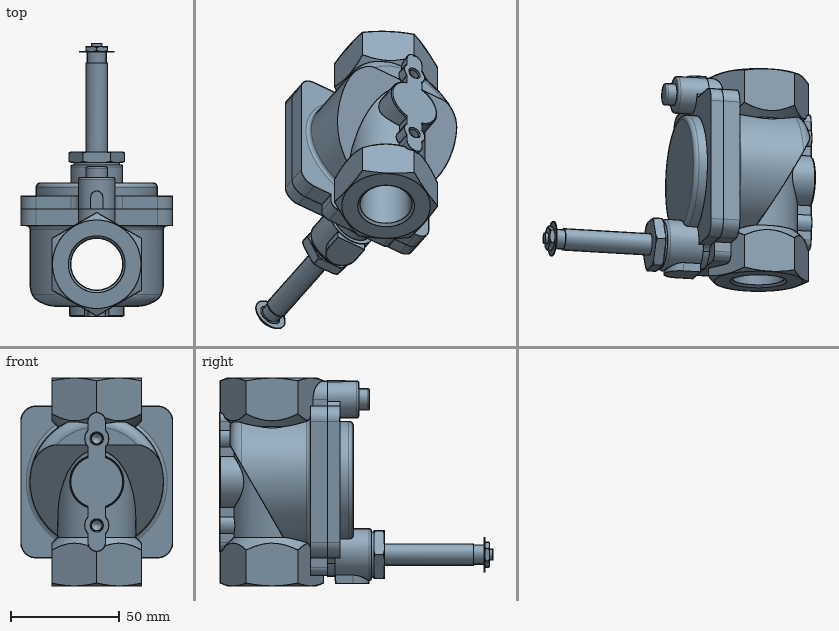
import cadquery as cq
import math


PORT_END = 48.0
PORT_FLATS = 41.3
PORT_RIM_RADIUS = 20.4
PORT_CHAMFER_DEPTH = 1.4
PIPE_RADIUS = 18.0
PIPE_END = 25.6
BORE_DIAMETER = 24.0
BORE_CHAMFER = 1.1

CUP_RADIUS = 30.7
CUP_BOTTOM = -19.4
CUP_EDGE_FILLET = 5.4
CUP_FLANGE_FILLET = 1.8
CUP_SLOPE_TOP = 17.1
CUP_SLOPE_ANGLE = 60.0

FLANGE_SIDE = 70.0
FLANGE_CORNER_RADIUS = 7.0
FLANGE_BOTTOM = 17.8
JOINT = 25.6
FLANGE_TOP = 31.4
FLANGE_EDGE = FLANGE_SIDE / 2

FOOT_BOTTOM = -24.13
FOOT_ROOT = -12.0
FOOT_DISC_RADIUS = 12.5
FOOT_DISC_CHAMFER = 0.5
FOOT_ARM_WIDTH = 8.1
FOOT_ARM_LENGTH = 64.0
FOOT_EAR_RADIUS = 5.5
FOOT_HOLE_SPACING = 40.1
FOOT_HOLE_DIAMETER = 4.9
FOOT_HOLE_DEPTH = 5.0
FOOT_HOLE_CONE_HEIGHT = 1.4
FOOT_HOLE_MOUTH_DIAMETER = 6.0

CAP_RADIUS = 28.0
CAP_TOP = 37.5
CAP_FILLET = 2.1

SCREW_BOSS_Z = 38.0
SCREW_BOSS_RADIUS = 17.0 / 2
SCREW_BOSS_TOP = 40.1
SCREW_HEAD_DIAMETER = 10.0
SCREW_HEAD_TOP = 45.0
SCREW_HEAD_FILLET = 0.9
SCREW_WEB_HALF_WIDTH = 12.0
SCREW_PAD_HALF_WIDTH = 2.8
SCREW_PAD_TOP = 33.8
PAD_FACE = 46.9
WEB_FILLET = 4.0
WEB_HEIGHT = 2.5
BOSS_FILLET = 1.0

PILOT_Z = -33.5
PILOT_RADIUS = 12.0
PILOT_BOTTOM = 29.1
PILOT_TOP = 45.9
PILOT_PAD_HALF_WIDTH = 7.3
PILOT_PAD_BOTTOM = 29.4
PILOT_PAD_TOP = 44.7
PILOT_ROOT_RADIUS = 10.1
PILOT_WEB_HALF_WIDTH = 13.0
LOWER_LUG_HALF_WIDTH = 18.6
LOWER_LUG_END = -43.2
LOWER_LUG_CORNER_RADIUS = 3.8

COLLAR_DIAMETER = 21.0
TUBE_NUT_BOTTOM = 47.0
TUBE_NUT_TOP = 51.8
TUBE_NUT_FLATS = 22.2
TUBE_NUT_RIM_RADIUS = 11.8
TUBE_DIAMETER = 10.0
TUBE_TOP = 92.9
TUBE_NECK_DIAMETER = 9.0
WASHER_BOTTOM = 97.8
WASHER_TOP = 98.2
WASHER_DIAMETER = 16.0
END_NUT_TOP = 100.4
END_NUT_FLATS = 10.1
END_NUT_RIM_RADIUS = 5.2
NUT_CHAMFER_DEPTH = 0.5
STUD_DIAMETER = 5.0
STUD_TOP = 101.87


def plane_at(y):
    """Sketch plane across the valve axis: local x is X, local y is Z, and it extrudes towards +Y."""
    return cq.Workplane(cq.Plane(origin=(0, y, 0), xDir=(1, 0, 0), normal=(0, -1, 0)))


def rod(y_start, y_end, radius, z=0.0):
    """Cylinder parallel to the valve axis."""
    return plane_at(y_start).center(0, z).circle(radius).extrude(y_start - y_end)


def block(y_start, y_end, half_width, z_start, z_end):
    """Box centred on X = 0."""
    size = (2 * half_width, y_end - y_start, z_end - z_start)
    return cq.Workplane("XY").box(*size, centered=(True, False, False)).translate((0, y_start, z_start))


def flange_plate(y_start, y_end):
    plate = plane_at(y_start).rect(FLANGE_SIDE, FLANGE_SIDE).extrude(y_start - y_end)
    return plate.edges("|Y").fillet(FLANGE_CORNER_RADIUS)


def across_corners(flats):
    return flats / math.cos(math.pi / 6)



def port_hexagon():
    """Upper hexagonal port, with a shallow outer chamfer and a 45 degree flare from the pipe."""
    corners = across_corners(PORT_FLATS)
    corner_radius = corners / 2
    slope = (corner_radius - PORT_RIM_RADIUS) / PORT_CHAMFER_DEPTH
    flare_end = PIPE_END + corner_radius - PIPE_RADIUS
    hexagon = (
        cq.Workplane("XY").workplane(offset=PIPE_END)
        .transformed(rotate=(0, 0, 90))
        .polygon(6, corners)
        .extrude(PORT_END - PIPE_END)
    )
    margin = 0.1
    envelope = (
        cq.Workplane("XZ")
        .moveTo(0, PIPE_END)
        .lineTo(PIPE_RADIUS, PIPE_END)
        .lineTo(corner_radius + margin, flare_end + margin)
        .lineTo(corner_radius + margin, PORT_END - PORT_CHAMFER_DEPTH - margin / slope)
        .lineTo(PORT_RIM_RADIUS, PORT_END)
        .lineTo(0, PORT_END)
        .close()
        .revolve(360, (0, 0, 0), (0, 1, 0))
    )
    return hexagon.intersect(envelope)


def cup():
    """Round cup with a sloped face cut from its lower half."""
    body = rod(CUP_BOTTOM, FLANGE_BOTTOM, CUP_RADIUS).faces("<Y").edges().fillet(CUP_EDGE_FILLET)
    reach = 2 * CUP_RADIUS
    slope_run = reach / math.tan(math.radians(CUP_SLOPE_ANGLE))
    wedge = (
        cq.Workplane("YZ")
        .moveTo(CUP_BOTTOM, CUP_SLOPE_TOP)
        .lineTo(CUP_BOTTOM + slope_run, CUP_SLOPE_TOP - reach)
        .lineTo(CUP_BOTTOM, CUP_SLOPE_TOP - reach)
        .close()
        .extrude(CUP_RADIUS, both=True)
    )
    collar = (
        cq.Workplane("XY")
        .moveTo(0, FLANGE_BOTTOM - CUP_FLANGE_FILLET)
        .lineTo(CUP_RADIUS, FLANGE_BOTTOM - CUP_FLANGE_FILLET)
        .radiusArc((CUP_RADIUS + CUP_FLANGE_FILLET, FLANGE_BOTTOM), CUP_FLANGE_FILLET)
        .lineTo(0, FLANGE_BOTTOM)
        .close()
        .revolve(360, (0, 0, 0), (0, 1, 0))
    )
    return body.cut(wedge).union(collar)


def foot():
    """Disc with two arms and two ears, under the cup."""
    disc = rod(FOOT_BOTTOM, FOOT_ROOT, FOOT_DISC_RADIUS).faces("<Y").edges().chamfer(FOOT_DISC_CHAMFER)
    arms = (
        plane_at(FOOT_BOTTOM)
        .slot2D(FOOT_ARM_LENGTH, FOOT_ARM_WIDTH, 90)
        .extrude(FOOT_BOTTOM - FOOT_ROOT)
    )
    solid = disc.union(arms)
    for side in (1, -1):
        solid = solid.union(rod(FOOT_BOTTOM, FOOT_ROOT, FOOT_EAR_RADIUS, side * FOOT_HOLE_SPACING / 2))
    return solid


def foot_hole(z):
    """Drilled hole with a cone bottom and a 45 degree mouth chamfer."""
    radius = FOOT_HOLE_DIAMETER / 2
    mouth_radius = FOOT_HOLE_MOUTH_DIAMETER / 2
    floor = FOOT_BOTTOM + FOOT_HOLE_DEPTH
    hole = (
        cq.Workplane("XY")
        .moveTo(0, FOOT_BOTTOM)
        .lineTo(mouth_radius, FOOT_BOTTOM)
        .lineTo(radius, FOOT_BOTTOM + mouth_radius - radius)
        .lineTo(radius, floor)
        .lineTo(0, floor + FOOT_HOLE_CONE_HEIGHT)
        .close()
        .revolve(360, (0, 0, 0), (0, 1, 0))
    )
    return hole.translate((0, 0, z))


def screw_lug():
    """Housing lug under the screw boss, with straight sides and a round end."""
    sides = block(FLANGE_BOTTOM, JOINT, SCREW_BOSS_RADIUS, 0, SCREW_BOSS_Z)
    return sides.union(rod(FLANGE_BOTTOM, JOINT, SCREW_BOSS_RADIUS, SCREW_BOSS_Z))


def pilot_lug():
    """Wide housing lug under the pilot boss, with two round corners."""
    lug = block(FLANGE_BOTTOM, JOINT, LOWER_LUG_HALF_WIDTH, LOWER_LUG_END, 0)
    return lug.faces("<Z").edges("|Y").fillet(LOWER_LUG_CORNER_RADIUS)


def through_bore():
    radius = BORE_DIAMETER / 2
    bore = cq.Workplane("XY").circle(radius).extrude(PORT_END, both=True)
    for side in (1, -1):
        mouth = cq.Solid.makeCone(
            radius + BORE_CHAMFER, radius, BORE_CHAMFER,
            pnt=cq.Vector(0, 0, side * PORT_END), dir=cq.Vector(0, 0, -side),
        )
        bore = bore.union(cq.Workplane(mouth))
    return bore


def make_housing():
    pipe = cq.Workplane("XY").circle(PIPE_RADIUS).extrude(PIPE_END, both=True)
    upper_port = port_hexagon()
    solid = (
        cup()
        .union(flange_plate(FLANGE_BOTTOM, JOINT))
        .union(pipe)
        .union(upper_port)
        .union(upper_port.mirror("XY"))
        .union(foot())
        .union(screw_lug())
        .union(pilot_lug())
        .cut(through_bore())
    )
    for side in (1, -1):
        solid = solid.cut(foot_hole(side * FOOT_HOLE_SPACING / 2))
    return solid



def web(half_width, y_end, side):
    """Fill between the flange edge and a boss, with a concave fillet on both flanks."""
    inner, outer = sorted((side * FLANGE_EDGE, side * (FLANGE_EDGE + WEB_HEIGHT)))
    solid = block(JOINT, y_end, half_width, inner, outer)
    flank = rod(JOINT, y_end, WEB_FILLET, side * (FLANGE_EDGE + WEB_FILLET))
    for direction in (1, -1):
        solid = solid.cut(flank.translate((direction * half_width, 0, 0)))
    return solid


def pad(half_width, y_start, y_end, z_start, z_end):
    """Flat pad on a boss, with a round end towards +Y."""
    return (
        cq.Workplane("XY").workplane(offset=z_start)
        .moveTo(-half_width, y_start)
        .lineTo(half_width, y_start)
        .lineTo(half_width, y_end - half_width)
        .threePointArc((0, y_end), (-half_width, y_end - half_width))
        .close()
        .extrude(z_end - z_start)
    )


def screw_boss():
    boss = rod(JOINT, SCREW_BOSS_TOP, SCREW_BOSS_RADIUS, SCREW_BOSS_Z)
    boss = boss.faces(">Y").edges().fillet(BOSS_FILLET)
    head = rod(SCREW_BOSS_TOP, SCREW_HEAD_TOP, SCREW_HEAD_DIAMETER / 2, SCREW_BOSS_Z)
    head = head.faces(">Y").edges().fillet(SCREW_HEAD_FILLET)
    key = pad(SCREW_PAD_HALF_WIDTH, JOINT, SCREW_PAD_TOP, SCREW_BOSS_Z, PAD_FACE)
    return boss.union(head).union(key).union(web(SCREW_WEB_HALF_WIDTH, FLANGE_TOP, 1))


def pilot_boss():
    boss = rod(PILOT_BOTTOM, PILOT_TOP, PILOT_RADIUS, PILOT_Z).faces(">Y").edges().fillet(BOSS_FILLET)
    key = pad(PILOT_PAD_HALF_WIDTH, PILOT_PAD_BOTTOM, PILOT_PAD_TOP, -PAD_FACE, PILOT_Z)
    root = rod(JOINT, PILOT_BOTTOM, PILOT_ROOT_RADIUS, PILOT_Z)
    return boss.union(key).union(root).union(web(PILOT_WEB_HALF_WIDTH, PILOT_BOTTOM, -1))


def nut(y_start, y_end, flats, rim_radius, turn):
    """Hexagonal nut on the tube axis, chamfered at both faces down to the rim radius."""
    corners = across_corners(flats)
    hexagon = (
        plane_at(y_start).center(0, PILOT_Z)
        .transformed(rotate=(0, 0, turn))
        .polygon(6, corners)
        .extrude(y_start - y_end)
    )
    envelope = (
        cq.Workplane("XY")
        .moveTo(0, y_start)
        .lineTo(rim_radius, y_start)
        .lineTo(corners / 2, y_start + NUT_CHAMFER_DEPTH)
        .lineTo(corners / 2, y_end - NUT_CHAMFER_DEPTH)
        .lineTo(rim_radius, y_end)
        .lineTo(0, y_end)
        .close()
        .revolve(360, (0, 0, 0), (0, 1, 0))
        .translate((0, 0, PILOT_Z))
    )
    return hexagon.intersect(envelope)


def armature_tube():
    collar = rod(PILOT_TOP, TUBE_NUT_BOTTOM, COLLAR_DIAMETER / 2, PILOT_Z)
    return (
        collar
        .union(nut(TUBE_NUT_BOTTOM, TUBE_NUT_TOP, TUBE_NUT_FLATS, TUBE_NUT_RIM_RADIUS, 0))
        .union(rod(TUBE_NUT_TOP, TUBE_TOP, TUBE_DIAMETER / 2, PILOT_Z))
        .union(rod(TUBE_TOP, WASHER_BOTTOM, TUBE_NECK_DIAMETER / 2, PILOT_Z))
        .union(rod(WASHER_BOTTOM, WASHER_TOP, WASHER_DIAMETER / 2, PILOT_Z))
        .union(nut(WASHER_TOP, END_NUT_TOP, END_NUT_FLATS, END_NUT_RIM_RADIUS, 90))
        .union(rod(END_NUT_TOP, STUD_TOP, STUD_DIAMETER / 2, PILOT_Z))
    )


def make_cover():
    cap = rod(FLANGE_TOP, CAP_TOP, CAP_RADIUS).faces(">Y").edges().fillet(CAP_FILLET)
    return (
        flange_plate(JOINT, FLANGE_TOP)
        .union(cap)
        .union(screw_boss())
        .union(pilot_boss())
        .union(armature_tube())
    )


housing = make_housing()
cover = make_cover()

result = cq.Compound.makeCompound([housing.val(), cover.val()])